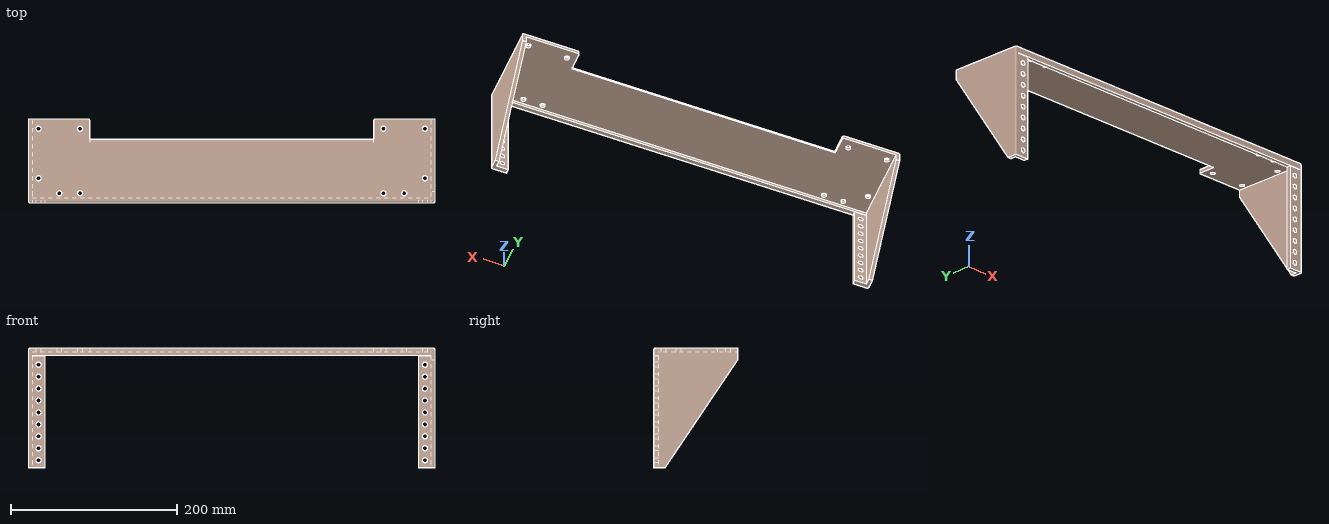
import cadquery as cq

length = 490.0
depth = 101.5
height = 144.5

thickness = 5.0
front_thickness = 6.0
bend_radius = 2.5
seam_gap = 0.25

lip_height = 9.5
flange_width = 20.0

tab_width = 74.0
notch_depth = 24.5
tab_corner_radius = 2.5
notch_edge_radius = 3.5

panel_rear_height = 14.0
panel_foot_depth = 13.5

hole_diameter = 6.0
side_edge_offset = 12.2
end_edge_offset = 12.0
plate_hole_spacing = 25.0
side_hole_depth = 30.0
flange_hole_count = 9
flange_hole_span = 115.0
lowest_flange_hole = 9.5

half_length = length / 2
inner_half_length = half_length - thickness
notch_half_length = half_length - tab_width
notch_floor = depth - notch_depth
lip_bottom = height - lip_height
middle_hole_offset = side_edge_offset + plate_hole_spacing
inner_hole_offset = middle_hole_offset + plate_hole_spacing
flange_hole_pitch = flange_hole_span / (flange_hole_count - 1)


def block(half_width, y_min, y_max, z_min, z_max):
    """Box centred on X = 0, given by its half width and its Y and Z limits."""
    box = cq.Workplane("XY").box(2 * half_width, y_max - y_min, z_max - z_min, centered=(True, False, False))
    return box.translate((0, y_min, z_min))


def folded_shell():
    """Top plate, front wall and two side walls with rounded outer edges."""
    outer = block(half_length, 0, depth, 0, height)
    outer = outer.edges("|Z and <Y").fillet(bend_radius)
    outer = outer.faces(">Z").edges("not >Y").fillet(bend_radius)
    inside = block(inner_half_length, front_thickness, depth, 0, height - thickness)
    return outer.cut(inside)


def front_opening():
    """Space between the leg flanges, below the front lip."""
    return block(half_length - flange_width, 0, front_thickness, 0, lip_bottom)


def front_seam():
    """Slit that separates the front lip from the two leg flanges."""
    return block(inner_half_length, 0, front_thickness, lip_bottom - seam_gap, lip_bottom)


def panel_trim():
    """Triangular region removed behind the sloped edge of both side panels."""
    return (
        cq.Workplane("YZ")
        .moveTo(panel_foot_depth, 0)
        .lineTo(depth, height - panel_rear_height)
        .lineTo(depth, 0)
        .close()
        .extrude(half_length, both=True)
    )


def rear_notch():
    """Notch between the two rear tabs of the top plate."""
    return block(notch_half_length, notch_floor, depth, 0, height)


def round_tab_corners(body):
    """Round the inner rear corner of each tab."""
    corners = cq.selectors.BoxSelector(
        (-notch_half_length - thickness, depth - thickness, 0),
        (notch_half_length + thickness, depth + thickness, height),
    )
    return body.edges("|Z").edges(corners).fillet(tab_corner_radius)


def notch_edge_rounding():
    """Material removed to round the upper edge of the notch floor."""
    bend_start = notch_floor - notch_edge_radius
    return (
        cq.Workplane("YZ")
        .moveTo(bend_start, height)
        .radiusArc((notch_floor, height - notch_edge_radius), notch_edge_radius)
        .lineTo(notch_floor, height)
        .close()
        .extrude(notch_half_length, both=True)
    )


def plate_holes():
    """Vertical holes through the top plate, mirrored about the middle."""
    offsets = [
        (side_edge_offset, depth - end_edge_offset),
        (inner_hole_offset, depth - end_edge_offset),
        (side_edge_offset, side_hole_depth),
        (middle_hole_offset, end_edge_offset),
        (inner_hole_offset, end_edge_offset),
    ]
    points = [(side * (half_length - x), y) for side in (-1, 1) for x, y in offsets]
    plate = cq.Workplane("XY").workplane(offset=height - thickness)
    return plate.pushPoints(points).circle(hole_diameter / 2).extrude(thickness)


def flange_holes():
    """Column of holes through each leg flange."""
    points = [
        (side * (half_length - side_edge_offset), lowest_flange_hole + row * flange_hole_pitch)
        for side in (-1, 1)
        for row in range(flange_hole_count)
    ]
    return cq.Workplane("XZ").pushPoints(points).circle(hole_diameter / 2).extrude(-front_thickness)


bracket = folded_shell().cut(front_opening()).cut(front_seam()).cut(panel_trim())
bracket = round_tab_corners(bracket.cut(rear_notch()))
bracket = bracket.cut(notch_edge_rounding())
result = bracket.cut(plate_holes()).cut(flange_holes())